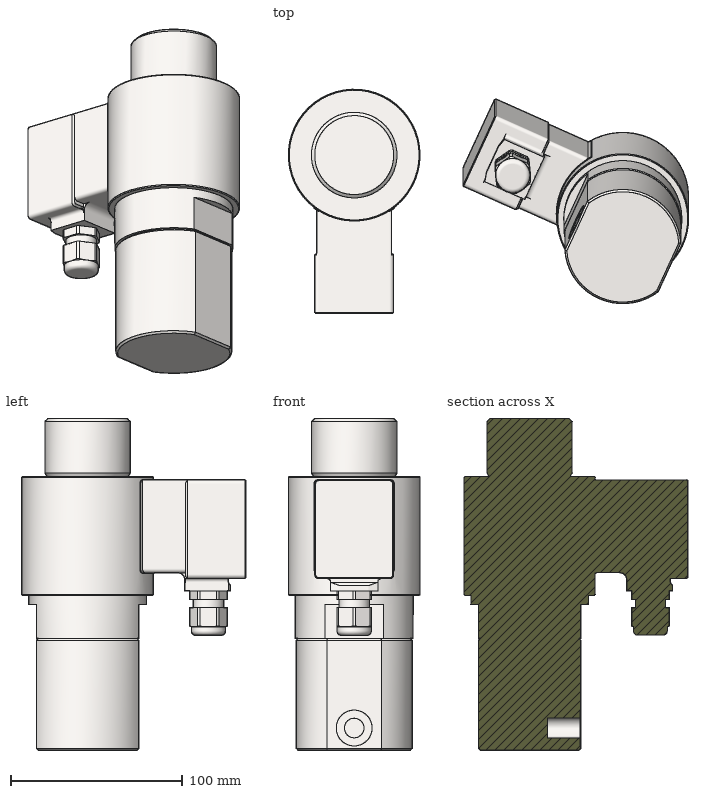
import cadquery as cq
import math


total_height = 194.0
total_depth = 131.0
body_diameter = 67.9
body_top = 65.4
body_chamfer = 1.2
collar_diameter = 69.0
flat_spacing = 60.0
collar_flat_top = 85.2
coil_diameter = 77.0
coil_bottom = 90.5
coil_top = 160.0
coil_chamfer = 0.5
cap_diameter = 50.0
cap_chamfer = 2.0
cap_bottom_inset = 1.2

port_height = 13.0
port_diameter = 11.5
port_depth = 19.4
spotface_diameter = 21.0
spotface_depth = 0.4

box_front = total_depth - coil_diameter / 2
box_back = 57.2
box_top = 158.1
box_width = 46.2
head_bottom = 100.3
box_corner_radius = 2.3
front_chamfer = 0.5
back_chamfer = 1.2
neck_width = box_width - 2 * back_chamfer
neck_bottom = 103.5
flange_width = 47.0
flange_bottom = 103.4
flange_thickness = 0.4
flange_corner = 2.3

block_width = 27.5
block_front = 82.3
block_back = 56.6
block_bottom = 93.1
block_side_fillet = 2.1
block_back_fillet = 3.7
pad_projection = 1.4
pad_width = 17.0
pad_top = 98.2
pad_slope_drop = 2.0

gland_offset = 70.6
hex_across_flats = 20.0
hex_corner_trim = 22.1
upper_nut_bottom = 88.0
gland_neck_diameter = 18.0
lower_nut_top = 83.5
lower_nut_bottom = 72.2
nut_chamfer_height = 0.4
nut_chamfer_inset = 1.2
gland_bottom = 67.1
gland_fillet = 2.5


def cylinder(diameter, bottom, top):
    """Vertical cylinder on the column axis."""
    return cq.Workplane("XY").workplane(offset=bottom).circle(diameter / 2).extrude(top - bottom)


def slab(width, front, back, bottom, top):
    """Box centred on X; front and back are distances from the axis towards -Y."""
    size = (width, front - back, top - bottom)
    return cq.Workplane("XY").box(*size, centered=(True, False, False)).translate((0, -front, bottom))


def make_column():
    flats_below = slab(coil_diameter, flat_spacing / 2, -flat_spacing / 2, 0, collar_flat_top)
    body = cylinder(body_diameter, 0, body_top).intersect(flats_below)
    body = body.faces("<Z or >Z").chamfer(body_chamfer)

    collar = cylinder(collar_diameter, body_top, collar_flat_top).intersect(flats_below)
    collar_rim = cylinder(collar_diameter, collar_flat_top, coil_bottom)
    coil = cylinder(coil_diameter, coil_bottom, coil_top).faces("<Z or >Z").chamfer(coil_chamfer)
    cap = cylinder(cap_diameter, coil_top, total_height).faces(">Z").chamfer(cap_chamfer)
    cap = cap.faces("<Z").chamfer(cap_chamfer, cap_bottom_inset)
    return body.union(collar).union(collar_rim).union(coil).union(cap)


def make_port():
    """Blind hole with a shallow spotface, entering from the -Y flat."""
    face = cq.Workplane("XZ", origin=(0, -flat_spacing / 2, port_height))
    hole = face.circle(port_diameter / 2).extrude(-port_depth)
    spotface = face.circle(spotface_diameter / 2).extrude(-spotface_depth)
    return hole.union(spotface)


def make_connector_box():
    head = slab(box_width, box_front, box_back, head_bottom, box_top)
    head = head.edges("|Y").fillet(box_corner_radius)
    head = head.faces("<Y").chamfer(front_chamfer).faces(">Y").chamfer(back_chamfer)

    neck = slab(box_width, box_back + back_chamfer, 0, neck_bottom, box_top)
    neck = neck.edges("|Y and >Z").fillet(box_corner_radius)
    neck = neck.intersect(slab(neck_width, box_front, 0, neck_bottom, box_top))
    neck = neck.edges("|Y and <Z").fillet(box_corner_radius)

    flange = slab(flange_width, coil_diameter, 0, flange_bottom, box_top)
    flange = flange.edges("|Y").fillet(flange_corner)
    flange = flange.intersect(cylinder(coil_diameter + 2 * flange_thickness, flange_bottom, box_top))
    return head.union(neck).union(flange)


def make_concave_strip(corner, direction, radius, plane, length):
    """Fillet strip filling the corner between a horizontal face above and a wall."""
    x, z = corner
    bend = radius * (1 - math.sqrt(0.5))
    return (
        cq.Workplane(plane)
        .moveTo(x, z)
        .lineTo(x + direction * radius, z)
        .threePointArc((x + direction * bend, z - bend), (x, z - radius))
        .close()
        .extrude(length)
    )


def make_gland_block():
    block = slab(block_width, block_front, block_back, block_bottom, neck_bottom)

    head_depth = block_front - box_back
    for side in (-1, 1):
        corner = (side * block_width / 2, head_bottom)
        strip = make_concave_strip(corner, side, block_side_fillet, "XZ", head_depth)
        block = block.union(strip.translate((0, -box_back, 0)))

    corner = (-block_back, neck_bottom)
    strip = make_concave_strip(corner, 1, block_back_fillet, "YZ", block_width)
    block = block.union(strip.translate((-block_width / 2, 0, 0)))

    pad_front = block_front + pad_projection
    pad = (
        cq.Workplane("XY")
        .workplane(offset=block_bottom)
        .moveTo(-block_width / 2, -block_front)
        .lineTo(-pad_width / 2, -pad_front)
        .lineTo(pad_width / 2, -pad_front)
        .lineTo(block_width / 2, -block_front)
        .close()
        .extrude(pad_top - block_bottom)
    )
    slope = (
        cq.Workplane("YZ")
        .moveTo(-block_front, block_bottom)
        .lineTo(-block_front, pad_top)
        .lineTo(-pad_front, pad_top - pad_slope_drop)
        .lineTo(-pad_front, block_bottom)
        .close()
        .extrude(block_width / 2, both=True)
    )
    return block.union(pad.intersect(slope))


def hex_prism(across_flats, bottom, top, turn):
    corner_diameter = across_flats / math.cos(math.pi / 6)
    prism = cq.Workplane("XY").workplane(offset=bottom).polygon(6, corner_diameter).extrude(top - bottom)
    return prism.rotate((0, 0, 0), (0, 0, 1), turn)


def make_nut(bottom, top):
    """Hexagon with corners towards +Y and -Y, each corner trimmed flat."""
    nut = hex_prism(hex_across_flats, bottom, top, 30)
    return nut.intersect(hex_prism(hex_corner_trim, bottom, top, 0))


def make_gland():
    upper_nut = make_nut(upper_nut_bottom, block_bottom)
    neck = cylinder(gland_neck_diameter, lower_nut_top, upper_nut_bottom)
    lower_nut = make_nut(lower_nut_bottom, lower_nut_top)
    turning_diameter = hex_across_flats + 2 * nut_chamfer_inset
    turned = cylinder(turning_diameter, lower_nut_bottom, lower_nut_top)
    turned = turned.faces("<Z").chamfer(nut_chamfer_height, nut_chamfer_inset)
    lower_nut = lower_nut.intersect(turned)
    tip = cylinder(hex_across_flats, gland_bottom, lower_nut_bottom).faces("<Z").edges().fillet(gland_fillet)
    gland = upper_nut.union(neck).union(lower_nut).union(tip)
    return gland.translate((0, -gland_offset, 0))


result = (
    make_column()
    .cut(make_port())
    .union(make_connector_box())
    .union(make_gland_block())
    .union(make_gland())
)